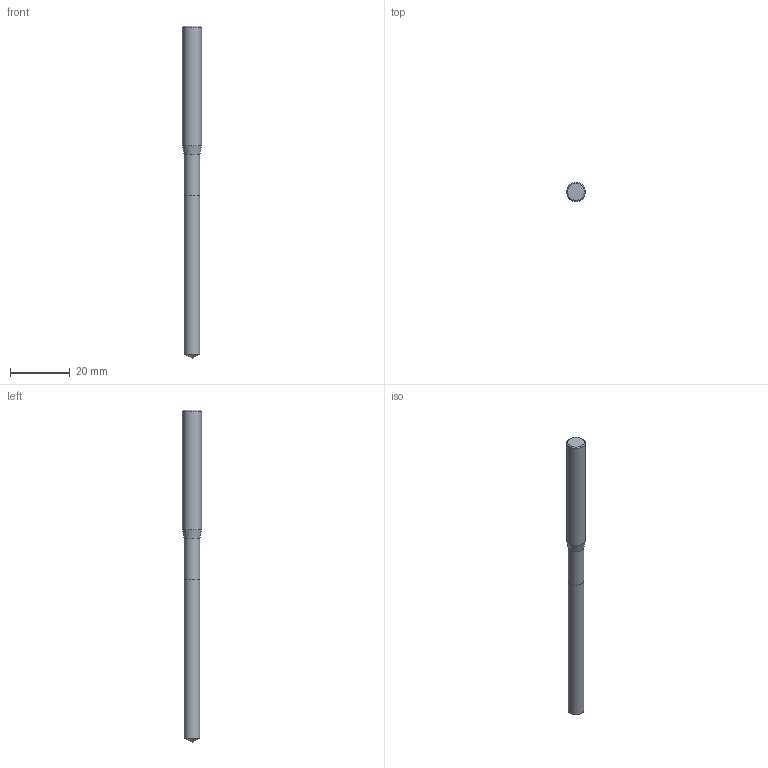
import cadquery as cq

total_length = 110.7

shank_diameter = 6.35
shank_length = 40.0
end_chamfer = 0.35

shoulder_length = 2.9
neck_diameter = 5.3
neck_length = 13.6

tip_height = 1.25

shank_radius = shank_diameter / 2
neck_radius = neck_diameter / 2

shank_bottom = total_length - shank_length
neck_top = shank_bottom - shoulder_length
joint_height = neck_top - neck_length


def revolve_profile(points):
    """Turn a closed (radius, height) outline around the Z axis."""
    return cq.Workplane("XZ").polyline(points).close().revolve(360, (0, 0, 0), (0, 1, 0))


def make_holder():
    """Chamfered shank, tapered shoulder and neck."""
    return revolve_profile([
        (0, joint_height),
        (neck_radius, joint_height),
        (neck_radius, neck_top),
        (shank_radius, shank_bottom),
        (shank_radius, total_length - end_chamfer),
        (shank_radius - end_chamfer, total_length),
        (0, total_length),
    ])


def make_cutter():
    """Plain round cutting length with a conical point, butted against the neck."""
    return revolve_profile([
        (0, 0),
        (neck_radius, tip_height),
        (neck_radius, joint_height),
        (0, joint_height),
    ])


holder = make_holder()
cutter = make_cutter()

result = cq.Compound.makeCompound([holder.val(), cutter.val()])